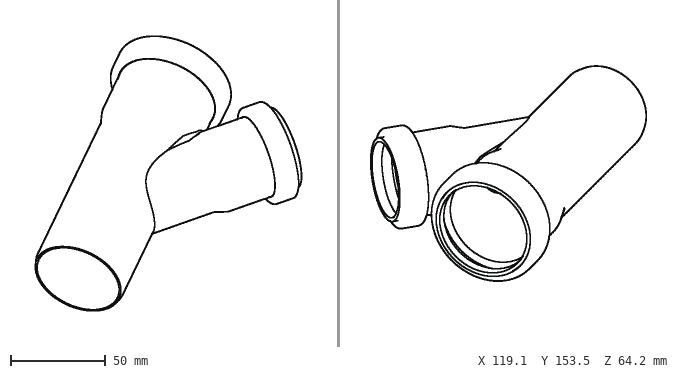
import cadquery as cq
import math

main_length = 153.5
main_od = 50.0
main_bore = 46.2
main_socket_od = 54.5
main_socket_bore = 50.8
main_lip_od = 55.0
main_collar_od = 64.2
main_collar_length = 12.1
main_lip_length = 3.2
main_socket_length = 41.9
main_cone_length = 8.3

spigot_chamfer_length = 3.4
spigot_chamfer_depth = 0.9

branch_angle = 45.0
branch_origin_y = 53.1
branch_length = 100.1
branch_od = 40.0
branch_bore = 36.2
branch_socket_od = 44.7
branch_socket_bore = 40.8
branch_lip_od = 45.0
branch_collar_od = 54.0
branch_collar_length = 11.2
branch_lip_length = 3.5
branch_socket_length = 40.2
branch_cone_length = 7.7

collar_wall = 2.0
collar_fillet = 0.9
neck_fillet = 0.8

web_top = (29.6, 118.0)
web_center = (0, 16.3)
web_half_height = 23.2
web_half_thickness = 3.5
web_start_setback = 9.2


def cylinder(diameter, start, end):
    """Cylinder around Y between two Y positions."""
    return cq.Workplane("XZ", origin=(0, start, 0)).circle(diameter / 2).extrude(start - end)


def revolve_about_y(points):
    """Solid of revolution around Y from (radius, y) points."""
    return cq.Workplane("XY").polyline(points).close().revolve(360, (0, 0, 0), (0, 1, 0))


def stepped_tube(pipe_d, socket_d, start, mouth, socket_length, cone_length):
    """Solid pipe that widens through a cone into a socket."""
    cone_end = mouth - socket_length
    return revolve_about_y([
        (0, start),
        (pipe_d / 2, start),
        (pipe_d / 2, cone_end - cone_length),
        (socket_d / 2, cone_end),
        (socket_d / 2, mouth),
        (0, mouth),
    ])


def add_collar(body, collar_d, lip_d, mouth, lip_length, length):
    """Add the seal collar with rounded rims, neck fillets and the lip up to the mouth."""
    top = mouth - lip_length
    bottom = top - length
    neck_radius = lip_d / 2 + neck_fillet
    collar = cylinder(collar_d, bottom, top).edges().fillet(collar_fillet)
    profile = (
        cq.Workplane("XY")
        .moveTo(0, bottom - neck_fillet)
        .lineTo(lip_d / 2, bottom - neck_fillet)
        .radiusArc((neck_radius, bottom), neck_fillet)
        .lineTo(neck_radius, top)
        .radiusArc((lip_d / 2, top + neck_fillet), neck_fillet)
        .lineTo(lip_d / 2, mouth)
        .lineTo(0, mouth)
        .close()
    )
    return body.union(collar).union(profile.revolve(360, (0, 0, 0), (0, 1, 0)))


def seal_groove(collar_d, mouth, lip_length, length):
    """Ring space for the seal inside the collar."""
    top = mouth - lip_length
    return cylinder(collar_d - 2 * collar_wall, top - length + collar_wall, top - collar_wall)


def place_branch(body):
    """Turn a body built along Y onto the branch axis."""
    return body.rotate((0, 0, 0), (0, 0, 1), -branch_angle).translate((0, branch_origin_y, 0))


def saddle_web():
    """Upper end of an elliptic arch, from the side of the pipe junction up to the crotch."""
    rise = cq.Vector(*web_top) - cq.Vector(*web_center)
    across = rise.normalized().cross(cq.Vector(0, 0, 1))
    plane = cq.Plane(origin=(*web_center, 0), xDir=rise, normal=across)
    start_x = math.sqrt((main_od / 2) ** 2 - (branch_od / 2) ** 2)
    start = rise.Length * start_x / web_top[0] + web_start_setback
    start_height = web_half_height * math.sqrt(1 - (start / rise.Length) ** 2)
    middle = (start + rise.Length) / 2
    arch = cq.Workplane(plane).ellipse(rise.Length, web_half_height).extrude(web_half_thickness, both=True)
    keep = cq.Workplane(plane).center(middle, 0).rect(rise.Length - start, 2 * start_height)
    return arch.intersect(keep.extrude(web_half_thickness, both=True))


def run_outside():
    """Outer shape of the main run, with the tapered spigot end."""
    pipe = stepped_tube(main_od, main_socket_od, 0, main_length, main_socket_length, main_cone_length)
    pipe = pipe.faces("<Y").chamfer(spigot_chamfer_depth, spigot_chamfer_length)
    return add_collar(
        pipe, main_collar_od, main_lip_od, main_length, main_lip_length, main_collar_length
    )


def run_inside():
    """Bore, socket and seal groove of the main run."""
    bore = stepped_tube(
        main_bore, main_socket_bore, 0, main_length, main_socket_length, main_cone_length
    )
    return bore.union(seal_groove(main_collar_od, main_length, main_lip_length, main_collar_length))


def branch_outside():
    """Outer shape of the branch, starting on the run axis."""
    pipe = stepped_tube(
        branch_od, branch_socket_od, 0, branch_length, branch_socket_length, branch_cone_length
    )
    return place_branch(add_collar(
        pipe, branch_collar_od, branch_lip_od, branch_length, branch_lip_length, branch_collar_length
    ))


def branch_inside():
    """Bore, socket and seal groove of the branch."""
    bore = stepped_tube(
        branch_bore, branch_socket_bore, 0, branch_length, branch_socket_length, branch_cone_length
    )
    groove = seal_groove(branch_collar_od, branch_length, branch_lip_length, branch_collar_length)
    return place_branch(bore.union(groove))


outside = run_outside().union(branch_outside()).union(saddle_web())
result = outside.cut(run_inside()).cut(branch_inside())